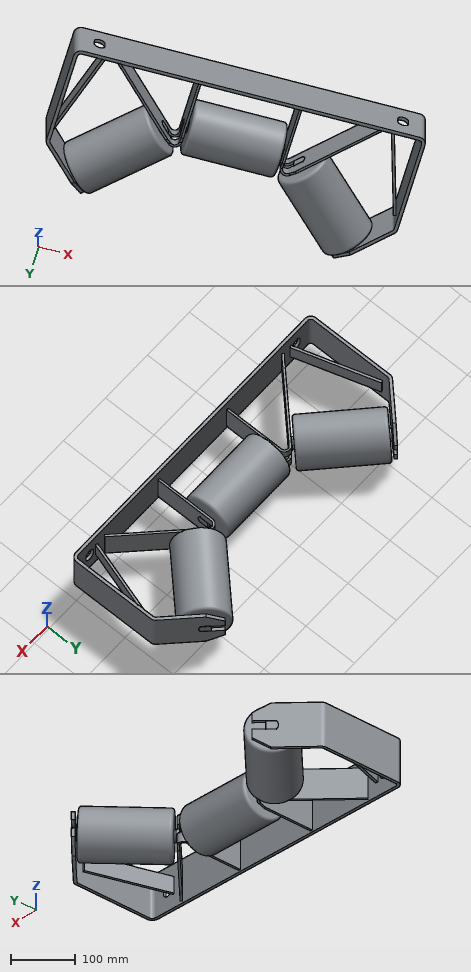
import cadquery as cq
import math

FRAME_LENGTH = 570.0
FRAME_HEIGHT = 80.5
FRAME_THICKNESS = 5.5
FRAME_BEND_RADIUS = 12.0
SIDE_CORNER_Y = 170.0
FRAME_TIP_Y = 249.5
WING_ANGLE = 45.0
TIP_CHAMFER_ALONG = 30.0
TIP_CHAMFER_HEIGHT = 17.5
MOUNT_SLOT_WIDTH = 17.0
MOUNT_SLOT_HEIGHT = 26.0
MOUNT_SLOT_INSET = 39.0

ROLLER_LENGTH = 150.0
ROLLER_RADIUS = 44.5
ROLLER_EDGE_RADIUS = 5.0
SHAFT_RADIUS = 10.0
SHAFT_FLATS = 15.5
TIP_FLAT_REACH = 9.5
COLLAR_REACH = 78.0
SLOT_RUNOUT = 45.5
SUPPORT_REACH = 80.0
MIDDLE_ROLLER_Y = 98.5
MIDDLE_ROLLER_Z = 33.5
SIDE_ROLLER_OFFSET = 167.5
SIDE_ROLLER_TILT = 2.4

BRACKET_THICKNESS = 4.0
BRACKET_BEND_RADIUS = 11.5
BRACKET_TOP = 58.0
BRACKET_BOTTOM = 3.5
BRACKET_RELIEF_HEIGHT = 4.0
BRACKET_RELIEF_SLOPE = 9.5

GUSSET_THICKNESS = 4.5
GUSSET_HEIGHT = 30.0
GUSSET_WALL_Y = 154.5
GUSSET_BASE_X = -233.0

HALF_LENGTH = FRAME_LENGTH / 2
FRAME_MID_Z = FRAME_HEIGHT / 2
WING_COS = math.cos(math.radians(WING_ANGLE))
WING_SIN = math.sin(math.radians(WING_ANGLE))
TILT = math.radians(SIDE_ROLLER_TILT)
SIDE_ROLLER_Z = MIDDLE_ROLLER_Z + SUPPORT_REACH * math.sin(TILT)
SHAFT_END = SUPPORT_REACH + BRACKET_THICKNESS


def round_corners(body, corners, radius):
    """Round the vertical edges that stand at the given plan points."""
    for x, y in corners:
        nearest = cq.selectors.NearestToPointSelector((x, y, body.val().Center().z))
        body = body.edges("|Z").edges(nearest).fillet(radius)
    return body


def mirrored(points):
    return [(-x, y) for x, y in points]


def place_middle(shape):
    """Move a shape built around the X axis to the middle roller's place."""
    return shape.translate((0, MIDDLE_ROLLER_Y, MIDDLE_ROLLER_Z))


def place_left(shape):
    """Move a shape built around the X axis to the left roller's place, outer end up."""
    tilted = shape.rotate((0, 0, 0), (0, 1, 0), SIDE_ROLLER_TILT)
    turned = tilted.rotate((0, 0, 0), (0, 0, 1), -WING_ANGLE)
    return turned.translate((-SIDE_ROLLER_OFFSET, SIDE_ROLLER_OFFSET, SIDE_ROLLER_Z))


def mirror_to_right(shape):
    return shape.mirror("YZ")


def x_cylinder(radius, half_length):
    """Cylinder around the X axis, centred on the origin."""
    return cq.Workplane("YZ").workplane(offset=-half_length).circle(radius).extrude(2 * half_length)


def keyed_bar(half_length, flat_reach):
    """Bar along X with two flats, rounded toward -Y and square at flat_reach toward +Y."""
    flats = cq.Workplane("XY").box(2 * half_length, 2 * SHAFT_RADIUS, SHAFT_FLATS)
    rounded = x_cylinder(SHAFT_RADIUS, half_length).intersect(flats)
    below_square = cq.Workplane("XY").box(
        2 * half_length, SHAFT_RADIUS, SHAFT_FLATS, centered=(True, False, True)
    )
    square = cq.Workplane("XY").box(
        2 * half_length, flat_reach, SHAFT_FLATS, centered=(True, False, True)
    )
    return rounded.cut(below_square).union(square)


def make_roller():
    """Roller along X, with a round collar and a keyed shaft tip at each end."""
    drum = x_cylinder(ROLLER_RADIUS, ROLLER_LENGTH / 2)
    drum = drum.faces("|X").edges().fillet(ROLLER_EDGE_RADIUS)
    collar = x_cylinder(SHAFT_RADIUS, COLLAR_REACH)
    between_tips = cq.Workplane("XY").box(2 * COLLAR_REACH, 2 * ROLLER_RADIUS, 2 * ROLLER_RADIUS)
    tips = keyed_bar(SHAFT_END, TIP_FLAT_REACH).cut(between_tips)
    return drum.union(collar).union(tips)


def make_shaft_slot():
    """Cutter along X for the open slots that both shaft tips drop into from +Y."""
    slot_reach = SUPPORT_REACH + 2 * BRACKET_BEND_RADIUS
    return keyed_bar(slot_reach, SLOT_RUNOUT)


def make_tip_chamfers():
    """Cutter for the two sloping corners at the left free end of the frame."""
    wing_run = (FRAME_TIP_Y - SIDE_CORNER_Y) / WING_SIN
    start = wing_run - TIP_CHAMFER_ALONG
    cutter = cq.Workplane("XZ")
    for edge_z, inward in ((FRAME_HEIGHT, -1), (0, 1)):
        corner_z = edge_z + inward * TIP_CHAMFER_HEIGHT
        cutter = cutter.polyline([(start, edge_z), (wing_run, edge_z), (wing_run, corner_z)]).close()
    cutter = cutter.extrude(2 * FRAME_THICKNESS, both=True)
    turned = cutter.rotate((0, 0, 0), (0, 0, 1), WING_ANGLE)
    return turned.translate((-HALF_LENGTH, SIDE_CORNER_Y, 0))


def make_frame(left_slot):
    tip_x = -HALF_LENGTH + (FRAME_TIP_Y - SIDE_CORNER_Y) * WING_COS / WING_SIN
    inner_x = -HALF_LENGTH + FRAME_THICKNESS
    inner_side_y = SIDE_CORNER_Y - FRAME_THICKNESS * math.tan(math.radians(WING_ANGLE / 2))
    outer_corners = [(-HALF_LENGTH, SIDE_CORNER_Y), (-HALF_LENGTH, 0)]
    inner_corners = [(inner_x, FRAME_THICKNESS), (inner_x, inner_side_y)]
    outer_tip = (tip_x, FRAME_TIP_Y)
    inner_tip = (tip_x + FRAME_THICKNESS * WING_SIN, FRAME_TIP_Y - FRAME_THICKNESS * WING_COS)

    outer_left = [outer_tip] + outer_corners
    inner_left = inner_corners + [inner_tip]
    outline = outer_left + mirrored(outer_left[::-1]) + mirrored(inner_left[::-1]) + inner_left
    frame = cq.Workplane("XY").polyline(outline).close().extrude(FRAME_HEIGHT)
    frame = round_corners(frame, outer_corners + mirrored(outer_corners), FRAME_BEND_RADIUS)
    inner_radius = FRAME_BEND_RADIUS - FRAME_THICKNESS
    frame = round_corners(frame, inner_corners + mirrored(inner_corners), inner_radius)

    mount_x = HALF_LENGTH - MOUNT_SLOT_INSET
    mount_slots = (
        cq.Workplane("XZ")
        .pushPoints([(-mount_x, FRAME_MID_Z), (mount_x, FRAME_MID_Z)])
        .slot2D(MOUNT_SLOT_HEIGHT, MOUNT_SLOT_WIDTH, 90)
        .extrude(-FRAME_THICKNESS)
    )
    frame = frame.cut(mount_slots)

    for cutter in (left_slot, make_tip_chamfers()):
        frame = frame.cut(cutter).cut(mirror_to_right(cutter))
    return frame


def make_left_bracket(left_slot, middle_slot):
    """Bent plate: a leg beside the middle roller and an arm under the left roller."""
    leg_x = -SUPPORT_REACH
    leg_back_x = leg_x - BRACKET_THICKNESS
    face_x = -SIDE_ROLLER_OFFSET + SUPPORT_REACH * WING_COS
    face_y = SIDE_ROLLER_OFFSET - SUPPORT_REACH * WING_SIN
    arm_slope = WING_SIN / WING_COS
    bend_y = face_y + (leg_x - face_x) * arm_slope
    back_drop = BRACKET_THICKNESS / WING_COS
    bend_back_y = bend_y - BRACKET_THICKNESS * arm_slope - back_drop
    foot_y = FRAME_THICKNESS
    foot_x = leg_back_x - (bend_back_y - foot_y) / arm_slope
    foot_face = (foot_x - BRACKET_THICKNESS * WING_SIN, foot_y + BRACKET_THICKNESS * WING_COS)

    bend = (leg_x, bend_y)
    bend_back = (leg_back_x, bend_back_y)
    outline = [(leg_x, foot_y), bend, foot_face, (foot_x, foot_y), bend_back, (leg_back_x, foot_y)]
    bracket = cq.Workplane("XY").polyline(outline).close().extrude(BRACKET_TOP - BRACKET_BOTTOM)
    bracket = round_corners(bracket, [bend], BRACKET_BEND_RADIUS)
    bracket = round_corners(bracket, [bend_back], BRACKET_BEND_RADIUS - BRACKET_THICKNESS)

    half_angle = (90 - WING_ANGLE) / 2
    tangent = BRACKET_BEND_RADIUS / math.tan(math.radians(half_angle))
    bend_start = -tangent * math.cos(math.radians(half_angle))
    relief_outline = [
        (bend_start - BRACKET_RELIEF_SLOPE, 0),
        (bend_start, BRACKET_RELIEF_HEIGHT),
        (0, BRACKET_RELIEF_HEIGHT),
        (0, 0),
    ]
    relief = cq.Workplane("XZ").polyline(relief_outline).close().extrude(tangent, both=True)
    relief = relief.rotate((0, 0, 0), (0, 0, 1), 90 - half_angle).translate((leg_x, bend_y, 0))
    bracket = bracket.cut(relief).translate((0, 0, BRACKET_BOTTOM))
    return bracket.cut(left_slot).cut(middle_slot)


def make_left_gusset():
    """Flat bar that braces the frame's side wall against its base."""
    wall_x = -HALF_LENGTH + FRAME_THICKNESS
    run_x = GUSSET_BASE_X - wall_x
    run_y = FRAME_THICKNESS - GUSSET_WALL_Y
    bar = cq.Workplane("XY").box(
        math.hypot(run_x, run_y), GUSSET_THICKNESS, GUSSET_HEIGHT, centered=(False, False, True)
    )
    turned = bar.rotate((0, 0, 0), (0, 0, 1), math.degrees(math.atan2(run_y, run_x)))
    return turned.translate((wall_x, GUSSET_WALL_Y, FRAME_MID_Z))


roller = make_roller()
shaft_slot = make_shaft_slot()
left_shaft_slot = place_left(shaft_slot)

frame = make_frame(left_shaft_slot)
middle_roller = place_middle(roller)

left_bodies = [
    place_left(roller),
    make_left_bracket(left_shaft_slot, place_middle(shaft_slot)),
    make_left_gusset(),
]
side_solids = []
for body in left_bodies:
    side_solids += [body.val(), mirror_to_right(body).val()]

result = cq.Compound.makeCompound([frame.val(), middle_roller.val(), *side_solids])